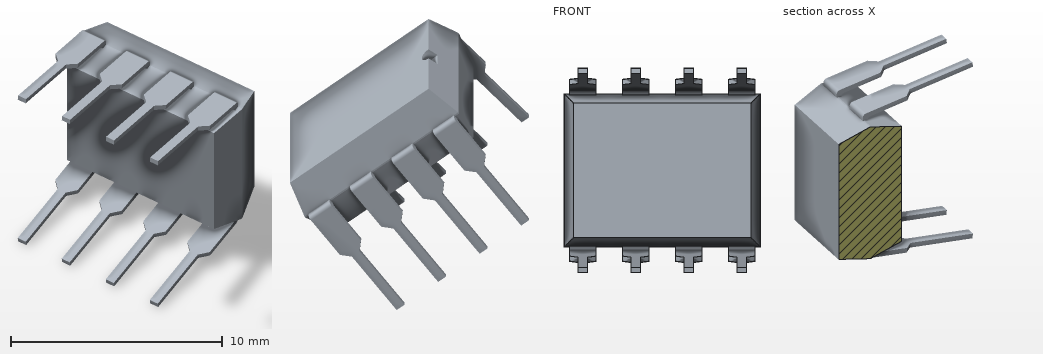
import cadquery as cq
import math

BODY_LENGTH = 9.27
BODY_HEIGHT = 7.24
REAR_DEPTH = 1.68
BAND_DEPTH = 0.08
FRONT_DEPTH = 1.66
DRAFT_ANGLE = 15

NOTCH_RADIUS = 0.41
NOTCH_DEPTH = 0.51

LEADS_PER_ROW = 4
LEAD_PITCH = 2.5
LEAD_THICKNESS = 0.25
SHOULDER_WIDTH = 1.27
PIN_WIDTH = 0.45
SHOULDER_END = 2.38
SPLAY_ANGLE = 8
TIP_SPAN = 9.67
OVERALL_DEPTH = 7.9
OUTER_BEND_RADIUS = 0.19
INNER_BEND_RADIUS = 0.17
ROOT_EMBEDMENT = 0.58

SPLAY = math.radians(SPLAY_ANGLE)


def body_half(depth, direction):
    """Drafted half of the body, growing along Y from the parting plane at Y = 0."""
    plane = cq.Plane(origin=(0, 0, 0), xDir=(1, 0, 0), normal=(0, direction, 0))
    return cq.Workplane(plane).rect(BODY_LENGTH, BODY_HEIGHT).extrude(depth, taper=DRAFT_ANGLE)


def make_body():
    band = cq.Workplane("XY").box(BODY_LENGTH, BAND_DEPTH, BODY_HEIGHT)
    body = band.translate((0, -BAND_DEPTH / 2, 0))
    body = body.union(body_half(REAR_DEPTH, 1))
    return body.union(body_half(FRONT_DEPTH, -1).translate((0, -BAND_DEPTH, 0)))


def make_notch():
    """Slot open toward -X, with its round end centred on the rear edge of the end face."""
    outer_x = -BODY_LENGTH / 2
    centre_x = outer_x + REAR_DEPTH * math.tan(math.radians(DRAFT_ANGLE))
    return (
        cq.Workplane("XZ", origin=(0, REAR_DEPTH, 0))
        .moveTo(outer_x, NOTCH_RADIUS)
        .lineTo(centre_x, NOTCH_RADIUS)
        .threePointArc((centre_x + NOTCH_RADIUS, 0), (centre_x, -NOTCH_RADIUS))
        .lineTo(outer_x, -NOTCH_RADIUS)
        .close()
        .extrude(NOTCH_DEPTH)
    )


def make_lead():
    """Lead of the upper row, centred on X = 0."""
    root_z = BODY_HEIGHT / 2 - ROOT_EMBEDMENT

    tip_low_y = REAR_DEPTH - OVERALL_DEPTH
    tip_top_y = tip_low_y + LEAD_THICKNESS * math.sin(SPLAY)
    tip_top_z = TIP_SPAN / 2
    tip_low_z = tip_top_z - LEAD_THICKNESS * math.cos(SPLAY)

    outer_z = tip_top_z + tip_top_y * math.tan(SPLAY)
    inner_z = tip_low_z + (tip_low_y + LEAD_THICKNESS) * math.tan(SPLAY)

    strip = (
        cq.Workplane("YZ")
        .polyline([
            (0, root_z),
            (0, outer_z),
            (tip_top_y, tip_top_z),
            (tip_low_y, tip_low_z),
            (-LEAD_THICKNESS, inner_z),
            (-LEAD_THICKNESS, root_z),
        ])
        .close()
        .extrude(SHOULDER_WIDTH / 2, both=True)
    )
    outer_corner = cq.selectors.NearestToPointSelector((0, 0, outer_z))
    strip = strip.edges("|X").edges(outer_corner).fillet(OUTER_BEND_RADIUS)
    inner_corner = cq.selectors.NearestToPointSelector((0, -LEAD_THICKNESS, inner_z))
    strip = strip.edges("|X").edges(inner_corner).fillet(INNER_BEND_RADIUS)

    along_lead = cq.Plane(
        origin=(0, 0, outer_z),
        xDir=(0, -math.cos(SPLAY), math.sin(SPLAY)),
        normal=(0, math.sin(SPLAY), math.cos(SPLAY)),
    )
    shoulder_end = SHOULDER_END / math.cos(SPLAY)
    pin_start = shoulder_end + (SHOULDER_WIDTH - PIN_WIDTH) / 2
    beyond_tip = OVERALL_DEPTH
    trim_reach = 2 * LEAD_THICKNESS
    for side in (1, -1):
        waste = (
            cq.Workplane(along_lead)
            .polyline([
                (shoulder_end, side * SHOULDER_WIDTH / 2),
                (pin_start, side * PIN_WIDTH / 2),
                (beyond_tip, side * PIN_WIDTH / 2),
                (beyond_tip, side * SHOULDER_WIDTH / 2),
            ])
            .close()
            .extrude(trim_reach, both=True)
        )
        strip = strip.cut(waste)
    return strip


upper_lead = make_lead()
lower_lead = upper_lead.mirror("XY")

result = make_body().cut(make_notch())
for index in range(LEADS_PER_ROW):
    x = (index - (LEADS_PER_ROW - 1) / 2) * LEAD_PITCH
    result = result.union(upper_lead.translate((x, 0, 0)))
    result = result.union(lower_lead.translate((x, 0, 0)))